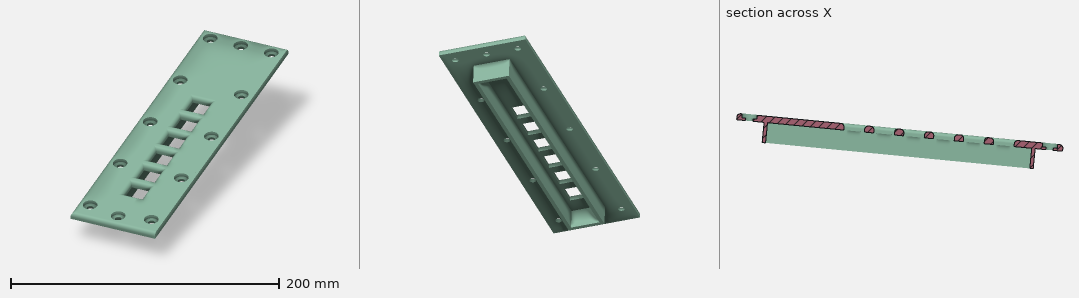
import cadquery as cq
import math

tilt_angle = 5.53
overall_length = 243.5
plate_width = 69.0
plate_thickness = 5.0
edge_radius = 3.0

tilt_sin = math.sin(math.radians(tilt_angle))
tilt_cos = math.cos(math.radians(tilt_angle))
edge_centre_height = plate_thickness - edge_radius
plate_length = (
    overall_length - edge_radius * (1 - tilt_cos) - edge_centre_height * tilt_sin
) / tilt_cos

screw_side_inset = 9.5
screw_upper_inset = 9.5
screw_lower_inset = 10.0
screw_pitch = 55.0
screw_rows = 5
screw_diameter = 5.0
head_diameter = 11.0
head_depth = 3.0

window_size = 15.0
window_pitch = 22.5
window_count = 6
first_window_y = 34

box_width = 28.5
box_length = 203.5
box_depth = 15.0
box_wall = 3.0

screw_x = plate_width / 2 - screw_side_inset
screw_upper_y = plate_length / 2 - screw_upper_inset
screw_lower_y = -plate_length / 2 + screw_lower_inset


def make_plate():
    """Flat plate, rounded along the top of its -X, -Y and +Y edges."""
    blank = cq.Workplane("XY").box(
        plate_width, plate_length, plate_thickness, centered=(True, True, False)
    )
    return blank.faces(">Z").edges("<X or <Y or >Y").fillet(edge_radius)


def make_box():
    """Rectangular frame hanging below the plate."""
    return (
        cq.Workplane("XY")
        .rect(box_width, box_length)
        .rect(box_width - 2 * box_wall, box_length - 2 * box_wall)
        .extrude(-box_depth)
    )


def make_window_cutter():
    """Square opening flaring outwards with a convex rounded rim and mitred corners."""
    rim_size = window_size + 2 * edge_radius
    frame = (
        cq.Workplane("XY")
        .rect(2 * rim_size, 2 * rim_size)
        .rect(window_size, window_size)
        .extrude(plate_thickness)
    )
    rim = cq.selectors.BoxSelector(
        (-window_size, -window_size, plate_thickness / 2),
        (window_size, window_size, 2 * plate_thickness),
    )
    rounded_frame = frame.edges(rim).edges(">Z").fillet(edge_radius)
    block = cq.Workplane("XY").box(
        rim_size, rim_size, plate_thickness, centered=(True, True, False)
    )
    return block.cut(rounded_frame)


def screw_positions():
    """Two side columns plus one hole on the centreline at each end."""
    side_holes = [
        (side * screw_x, screw_upper_y - row * screw_pitch)
        for row in range(screw_rows)
        for side in (-1, 1)
    ]
    return side_holes + [(0, screw_upper_y), (0, screw_lower_y)]


panel = make_plate()

window_cutter = make_window_cutter()
for index in range(window_count):
    panel = panel.cut(window_cutter.translate((0, first_window_y - index * window_pitch, 0)))

panel = (
    panel.faces(">Z")
    .workplane(origin=(0, 0, plate_thickness))
    .pushPoints(screw_positions())
    .cboreHole(screw_diameter, head_diameter, head_depth)
)

result = panel.union(make_box()).rotate((0, 0, 0), (1, 0, 0), tilt_angle)